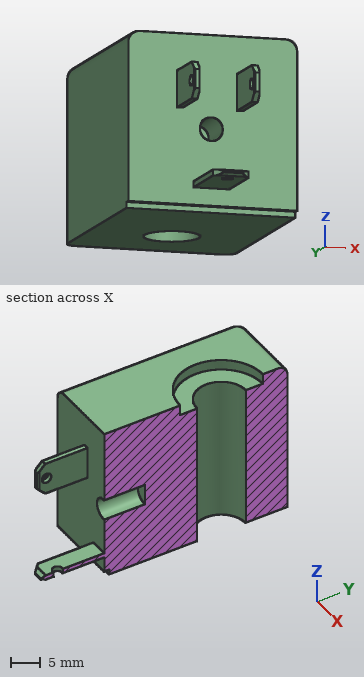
import cadquery as cq

BODY_WIDTH = 29.5
BODY_DEPTH = 36.0
BODY_HEIGHT = 30.0
EDGE_RADIUS = 2.0
STEP_SIZE = 1.0

BORE_DIAMETER = 9.5
BORE_TO_BACK = 13.0
COUNTERBORE_DIAMETER = 16.2
COUNTERBORE_DEPTH = 2.0

PLUG_OFFSET_X = -0.25
SCREW_HOLE_DIAMETER = 4.0
SCREW_HOLE_DEPTH = 8.0
SCREW_HOLE_Z = 14.0

BLADE_WIDTH = 6.25
BLADE_THICKNESS = 1.0
BLADE_CORNER = 1.5
BLADE_HOLE_DIAMETER = 1.8
BLADE_ROOT = 1.0

CONTACT_LENGTH = 9.8
CONTACT_HOLE_FROM_FACE = 8.0
CONTACT_BEVEL_LENGTH = 0.35
CONTACT_BEVEL_DEPTH = 0.15
CONTACT_SPACING = 10.5
CONTACT_CENTRE_X = -0.5
CONTACT_Z = 20.5

EARTH_LENGTH = 12.4
EARTH_HOLE_FROM_FACE = 9.0
EARTH_BEVEL_LENGTH = 0.9
EARTH_BEVEL_DEPTH = 0.4
EARTH_Z = 4.45


def make_body():
    """Block with rounded top side edges and rounded back edges."""
    body = cq.Workplane("XY").box(BODY_WIDTH, BODY_DEPTH, BODY_HEIGHT, centered=(True, False, False))
    top_edges = body.edges("|Y and >Z")
    back_edges = body.edges(">Y").edges("|Z or >Z")
    body = body.newObject(top_edges.vals() + back_edges.vals()).fillet(EDGE_RADIUS)
    step = cq.Workplane("XY").box(BODY_WIDTH, STEP_SIZE, STEP_SIZE, centered=(True, False, False))
    return body.cut(step)


def cut_bore(body):
    """Vertical through bore with a counterbore in the top face."""
    centre_y = BODY_DEPTH - BORE_TO_BACK
    return (
        body.faces(">Z")
        .workplane(origin=(0, centre_y, BODY_HEIGHT))
        .cboreHole(BORE_DIAMETER, COUNTERBORE_DIAMETER, COUNTERBORE_DEPTH)
    )


def cut_screw_hole(body):
    """Blind screw hole going into the terminal face."""
    hole = (
        cq.Workplane("XZ", origin=(PLUG_OFFSET_X, 0, SCREW_HOLE_Z))
        .circle(SCREW_HOLE_DIAMETER / 2)
        .extrude(-SCREW_HOLE_DEPTH)
    )
    return body.cut(hole)


def make_blade(length, hole_from_face, bevel_length, bevel_depth):
    """Flat blade pointing to -Y, centred on the origin in X and Z."""
    half_width = BLADE_WIDTH / 2
    half_thickness = BLADE_THICKNESS / 2
    outline = (
        cq.Workplane("XY", origin=(0, 0, -half_thickness))
        .moveTo(-half_width, BLADE_ROOT)
        .lineTo(half_width, BLADE_ROOT)
        .lineTo(half_width, BLADE_CORNER - length)
        .lineTo(half_width - BLADE_CORNER, -length)
        .lineTo(BLADE_CORNER - half_width, -length)
        .lineTo(-half_width, BLADE_CORNER - length)
        .close()
        .extrude(BLADE_THICKNESS)
    )
    tip_half_thickness = half_thickness - bevel_depth
    profile = (
        cq.Workplane("YZ", origin=(-half_width, 0, 0))
        .moveTo(BLADE_ROOT, half_thickness)
        .lineTo(bevel_length - length, half_thickness)
        .lineTo(-length, tip_half_thickness)
        .lineTo(-length, -tip_half_thickness)
        .lineTo(bevel_length - length, -half_thickness)
        .lineTo(BLADE_ROOT, -half_thickness)
        .close()
        .extrude(BLADE_WIDTH)
    )
    hole = (
        cq.Workplane("XY", origin=(0, -hole_from_face, -half_thickness))
        .circle(BLADE_HOLE_DIAMETER / 2)
        .extrude(BLADE_THICKNESS)
    )
    return outline.intersect(profile).cut(hole)


def add_terminals(body):
    """Join the flat earth blade and the two upright contact blades."""
    earth = make_blade(EARTH_LENGTH, EARTH_HOLE_FROM_FACE, EARTH_BEVEL_LENGTH, EARTH_BEVEL_DEPTH)
    body = body.union(earth.translate((PLUG_OFFSET_X, 0, EARTH_Z)))

    contact = make_blade(
        CONTACT_LENGTH, CONTACT_HOLE_FROM_FACE, CONTACT_BEVEL_LENGTH, CONTACT_BEVEL_DEPTH
    ).rotate((0, 0, 0), (0, 1, 0), 90)
    for side in (-1, 1):
        contact_x = CONTACT_CENTRE_X + side * CONTACT_SPACING / 2
        body = body.union(contact.translate((contact_x, 0, CONTACT_Z)))
    return body


result = add_terminals(cut_screw_hole(cut_bore(make_body())))